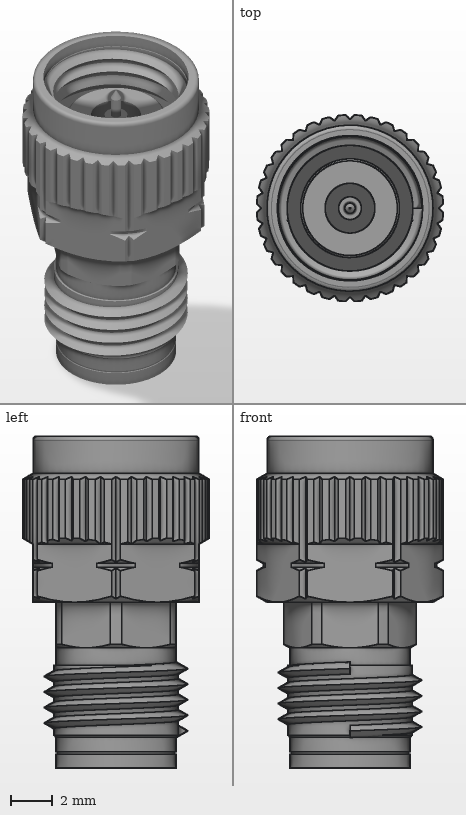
import cadquery as cq
import math

TOTAL_HEIGHT = 16.0
HEX_CORNER_FACTOR = 1 / math.cos(math.radians(30))
CHAMFER_SLOPE = math.tan(math.radians(30))
THREAD_PITCH = 0.75
THREAD_TURNS = 4
THREAD_FLANK_SLOPE = math.tan(math.radians(30))
THREAD_ROOT_OVERLAP = 0.1

BARREL_RADIUS = 2.9
THREAD_CORE_RADIUS = 3.0
THREAD_CORE_BOTTOM = 1.6
THREAD_CORE_TOP = 4.95
MALE_CREST_RADIUS = 3.46
MALE_THREAD_START = 1.8
MALE_THREAD_ANGLE = -90
BARREL_GROOVE_RADIUS = 2.84
BARREL_GROOVE_BOTTOM = 0.68
BARREL_GROOVE_TOP = 0.79

BODY_FLATS = 5.8
BODY_CORNER_RADIUS = 3.2
BODY_HEX_BOTTOM = 5.8

NUT_FLATS = 8.0
NUT_RADIUS = 4.5
NUT_BOTTOM = 8.0
NUT_HEX_TOP = 10.8
KNURL_TOP = 14.2
COLLAR_RADIUS = NUT_FLATS / 2
COLLAR_FILLET = 0.2
KNURL_COUNT = 36
KNURL_HALF_WIDTH = 0.22
KNURL_DEPTH = 0.22
CORNER_GROOVE_Z = 9.78
CORNER_GROOVE_RADIUS = 4.19
CORNER_GROOVE_FLOOR_WIDTH = 0.18

BORE_RADIUS = 3.5
FEMALE_ROOT_RADIUS = 3.46
FEMALE_ROOT_TOP = 15.4
FEMALE_CREST_RADIUS = 3.03
FEMALE_THREAD_END = 15.25
FEMALE_THREAD_ANGLE = 0
BORE_FLOOR = 11.8

SHELL_RADIUS = 2.38
SHELL_TOP = 13.8
SHELL_CHAMFER = 0.1
SHELL_BORE_RADIUS = 1.2
SHELL_BORE_DEPTH = 1.5
SUPPORT_RADIUS = 0.55
PIN_RADIUS = 0.25
PIN_SHOULDER = 14.8
PIN_TIP = 15.2
PIN_TIP_RADIUS = 0.03

CLEARANCE = 1.0


def cylinder(radius, bottom, top):
    return cq.Workplane("XY").workplane(offset=bottom).circle(radius).extrude(top - bottom)


def revolved(points):
    """Solid of revolution about Z from a closed (radius, z) outline."""
    return cq.Workplane("XZ").polyline(points).close().revolve(360, (0, 0), (0, 1))


def hexagon(flats, bottom, top):
    """Hexagonal prism with corners on the X axis."""
    across_corners = flats * HEX_CORNER_FACTOR
    return cq.Workplane("XY").workplane(offset=bottom).polygon(6, across_corners).extrude(top - bottom)


def turned_blank(end_radius, full_radius, bottom, top):
    """Cylinder whose lower end tapers down to end_radius."""
    taper = (full_radius - end_radius) * CHAMFER_SLOPE
    return revolved([
        (0, bottom),
        (end_radius, bottom),
        (full_radius, bottom + taper),
        (full_radius, top),
        (0, top),
    ])


def thread(root_radius, crest_radius, start_z, start_angle):
    """Right-hand triangular thread; the crest starts at start_z and start_angle."""
    outward = 1 if crest_radius > root_radius else -1
    sunk_radius = root_radius - outward * THREAD_ROOT_OVERLAP
    half_base = abs(crest_radius - sunk_radius) * THREAD_FLANK_SLOPE
    helix = cq.Wire.makeHelix(THREAD_PITCH, THREAD_PITCH * THREAD_TURNS, root_radius)
    profile = cq.Workplane("XZ").polyline([
        (sunk_radius, -half_base),
        (crest_radius, 0),
        (sunk_radius, half_base),
    ]).close()
    ridge = profile.sweep(cq.Workplane(helix), isFrenet=True)
    return ridge.rotate((0, 0, 0), (0, 0, 1), start_angle).translate((0, 0, start_z))


def make_barrel():
    core_step = THREAD_CORE_RADIUS - BARREL_RADIUS
    barrel = revolved([
        (0, 0),
        (BARREL_RADIUS, 0),
        (BARREL_RADIUS, BARREL_GROOVE_BOTTOM),
        (BARREL_GROOVE_RADIUS, BARREL_GROOVE_BOTTOM),
        (BARREL_GROOVE_RADIUS, BARREL_GROOVE_TOP),
        (BARREL_RADIUS, BARREL_GROOVE_TOP),
        (BARREL_RADIUS, THREAD_CORE_BOTTOM - core_step),
        (THREAD_CORE_RADIUS, THREAD_CORE_BOTTOM),
        (THREAD_CORE_RADIUS, THREAD_CORE_TOP),
        (BARREL_RADIUS, THREAD_CORE_TOP),
        (BARREL_RADIUS, BODY_HEX_BOTTOM),
        (0, BODY_HEX_BOTTOM),
    ])
    return barrel.union(thread(THREAD_CORE_RADIUS, MALE_CREST_RADIUS, MALE_THREAD_START, MALE_THREAD_ANGLE))


def make_body_hex():
    blank = turned_blank(BODY_FLATS / 2, BODY_CORNER_RADIUS, BODY_HEX_BOTTOM, NUT_BOTTOM)
    return hexagon(BODY_FLATS, BODY_HEX_BOTTOM, NUT_BOTTOM).intersect(blank)


def make_flared_hexagon(bottom, top):
    """Nut hexagon whose six flats lean outward with height."""
    flare = (top - bottom) / CHAMFER_SLOPE
    return (
        cq.Workplane("XY")
        .workplane(offset=bottom)
        .polygon(6, NUT_FLATS * HEX_CORNER_FACTOR)
        .workplane(offset=top - bottom)
        .polygon(6, (NUT_FLATS + 2 * flare) * HEX_CORNER_FACTOR)
        .loft(ruled=True)
    )


def make_nut_blank():
    """Nut hexagon, knurl band and lower collar, before the knurl is cut."""
    taper = (NUT_RADIUS - COLLAR_RADIUS) * CHAMFER_SLOPE
    hex_blank = turned_blank(COLLAR_RADIUS, NUT_RADIUS, NUT_BOTTOM, NUT_HEX_TOP)
    nut_hex = hexagon(NUT_FLATS, NUT_BOTTOM, NUT_HEX_TOP).intersect(hex_blank)
    band = revolved([
        (0, NUT_HEX_TOP),
        (NUT_RADIUS, NUT_HEX_TOP),
        (NUT_RADIUS, KNURL_TOP - taper),
        (COLLAR_RADIUS, KNURL_TOP),
        (0, KNURL_TOP),
    ]).intersect(make_flared_hexagon(NUT_HEX_TOP, KNURL_TOP))
    collar = cylinder(COLLAR_RADIUS, NUT_HEX_TOP, FEMALE_ROOT_TOP)
    return nut_hex.union(band).union(collar)


def cut_corner_groove(nut):
    """Turned groove that nicks the six hexagon corners."""
    outer_radius = NUT_RADIUS + CLEARANCE
    floor_half = CORNER_GROOVE_FLOOR_WIDTH / 2
    mouth_half = floor_half + (outer_radius - CORNER_GROOVE_RADIUS) * CHAMFER_SLOPE
    groove = revolved([
        (CORNER_GROOVE_RADIUS, CORNER_GROOVE_Z - floor_half),
        (outer_radius, CORNER_GROOVE_Z - mouth_half),
        (outer_radius, CORNER_GROOVE_Z + mouth_half),
        (CORNER_GROOVE_RADIUS, CORNER_GROOVE_Z + floor_half),
    ])
    return nut.cut(groove)


def cut_knurl(nut):
    """V grooves parallel to the axis; every sixth one runs down a hexagon corner."""
    v_bottom = NUT_RADIUS - KNURL_DEPTH
    mouth_radius = NUT_RADIUS + KNURL_DEPTH
    mouth_half = 2 * KNURL_HALF_WIDTH
    groove = (
        cq.Workplane("XY")
        .workplane(offset=NUT_BOTTOM)
        .polyline([(v_bottom, 0), (mouth_radius, -mouth_half), (mouth_radius, mouth_half)])
        .close()
        .extrude(KNURL_TOP - NUT_BOTTOM)
        .val()
    )
    step = 360 / KNURL_COUNT
    grooves = [groove.rotate((0, 0, 0), (0, 0, 1), i * step) for i in range(KNURL_COUNT)]
    return nut.cut(cq.Workplane(cq.Compound.makeCompound(grooves)))


def make_collar_rim():
    """Top of the collar, bored slightly wider than the thread root below it."""
    rim = cylinder(COLLAR_RADIUS, FEMALE_ROOT_TOP, TOTAL_HEIGHT).faces(">Z").edges().fillet(COLLAR_FILLET)
    return rim.cut(cylinder(BORE_RADIUS, FEMALE_ROOT_TOP, TOTAL_HEIGHT))


def make_nut():
    nut = cut_knurl(cut_corner_groove(make_nut_blank()))
    nut = nut.cut(cylinder(FEMALE_ROOT_RADIUS, BORE_FLOOR, TOTAL_HEIGHT))
    thread_start = FEMALE_THREAD_END - THREAD_PITCH * THREAD_TURNS
    nut = nut.union(thread(FEMALE_ROOT_RADIUS, FEMALE_CREST_RADIUS, thread_start, FEMALE_THREAD_ANGLE))
    return nut.union(make_collar_rim())


def make_contact():
    """Outer shell, support bead and pointed centre pin inside the nut bore."""
    shell = cylinder(SHELL_RADIUS, BORE_FLOOR, SHELL_TOP).faces(">Z").edges().chamfer(SHELL_CHAMFER)
    cavity_floor = SHELL_TOP - SHELL_BORE_DEPTH
    shell = shell.cut(cylinder(SHELL_BORE_RADIUS, cavity_floor, SHELL_TOP))
    support = cylinder(SUPPORT_RADIUS, cavity_floor, SHELL_TOP)
    pin = revolved([
        (0, cavity_floor),
        (PIN_RADIUS, cavity_floor),
        (PIN_RADIUS, PIN_SHOULDER),
        (PIN_TIP_RADIUS, PIN_TIP),
        (0, PIN_TIP),
    ])
    return shell.union(support).union(pin)


result = make_barrel().union(make_body_hex()).union(make_nut()).union(make_contact())